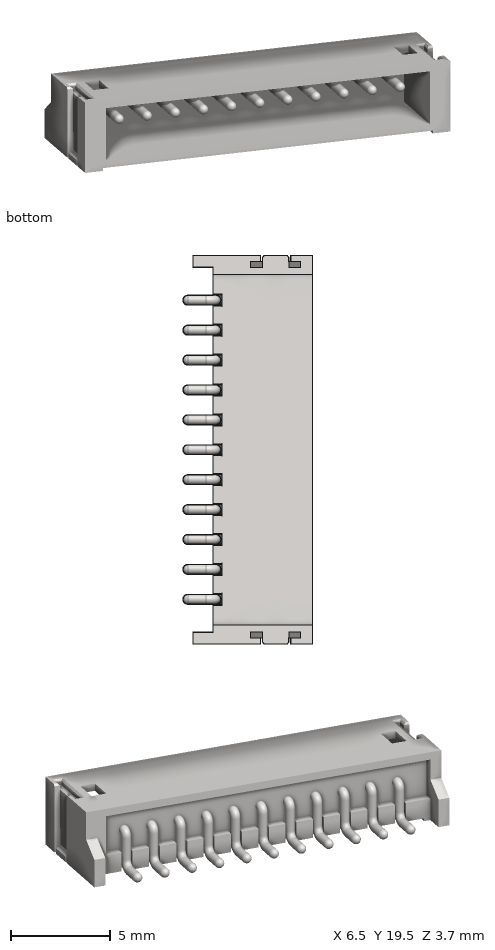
import cadquery as cq
import math


HOUSING_DEPTH = 5.0
HOUSING_WIDTH = 19.5
HOUSING_HEIGHT = 3.7
HALF_WIDTH = HOUSING_WIDTH / 2
STANDOFF = 0.15
FOOT_WIDTH = 0.95

WING_LENGTH = 1.0
WING_THICKNESS = 0.6
WING_REAR_HEIGHT = 1.5
WING_FRONT_HEIGHT = 2.2

CAVITY_END_WALL = 1.1
CAVITY_HALF_WIDTH = HALF_WIDTH - CAVITY_END_WALL
CAVITY_ROOF = 0.4
CAVITY_TOP = HOUSING_HEIGHT - CAVITY_ROOF
CAVITY_BOTTOM = 0.5
CAVITY_REAR_X = 1.2

RECESS_DEPTH = 0.45
RECESS_RIGHT_Y = -HALF_WIDTH + WING_THICKNESS
RECESS_LEFT_Y = CAVITY_HALF_WIDTH
SHELF_TOP = 1.17
GROOVE_WIDTH = 0.6

WINDOW_REAR_X = 1.8
WINDOW_LENGTH = 1.4
WINDOW_WIDTH = 0.8

SLOT_CENTER_X = 3.15
SLOT_LENGTH = 2.5
SLOT_LIP = 0.3
SLOT_THICKNESS = 0.3
MOUTH_LENGTH = 1.5
SLOT_CHAMFER = 0.1

TAB_TOP = 3.38
TAB_SHOULDER_Z = 1.3
LEG_LENGTH = 1.33
TAB_FOOT_HEIGHT = 0.3
BEND_CHAMFER = 0.1
FOOT_CORNER_CHAMFER = 0.1

PIN_COUNT = 11
PIN_PITCH = 1.5
PIN_DIAMETER = 0.5
PIN_RADIUS = PIN_DIAMETER / 2
TAIL_TIP_X = -1.5
TAIL_Z = PIN_RADIUS
LOWER_BEND_RADIUS = 0.5
UPPER_BEND_RADIUS = 0.26
RISER_X = 0.15
CONTACT_Z = 2.21
CONTACT_TIP_X = 4.0


def box(x_range, y_range, z_range):
    """Box spanning three (low, high) ranges."""
    spans = [high - low for low, high in (x_range, y_range, z_range)]
    corner = (x_range[0], y_range[0], z_range[0])
    return cq.Workplane("XY").box(*spans, centered=False).translate(corner)


def centered_range(center, length):
    return (center - length / 2, center + length / 2)


def both_ends(shape):
    """A feature of the -Y end together with its mirror image at the +Y end."""
    return shape.union(shape.mirror("XZ"))


def make_wing():
    return (
        cq.Workplane("XZ", origin=(0, -HALF_WIDTH, 0))
        .moveTo(0, 0)
        .lineTo(-WING_LENGTH, 0)
        .lineTo(-WING_LENGTH, WING_REAR_HEIGHT)
        .lineTo(0, WING_FRONT_HEIGHT)
        .close()
        .extrude(-WING_THICKNESS)
    )


def make_end_slot():
    """T-shaped slot through the full height, widened by a chamfer at the top."""
    inner_y = -HALF_WIDTH + SLOT_LIP

    def t_outline(z, growth):
        """T outline at height z, its slot and mouth walls moved outwards by growth."""
        mouth_half = MOUTH_LENGTH / 2 + growth
        slot_half = SLOT_LENGTH / 2 + growth
        lip_y = inner_y - growth
        back_y = inner_y + SLOT_THICKNESS + growth
        return (
            cq.Workplane("XY", origin=(SLOT_CENTER_X, 0, z))
            .moveTo(-mouth_half, -HALF_WIDTH - SLOT_LIP)
            .lineTo(mouth_half, -HALF_WIDTH - SLOT_LIP)
            .lineTo(mouth_half, lip_y)
            .lineTo(slot_half, lip_y)
            .lineTo(slot_half, back_y)
            .lineTo(-slot_half, back_y)
            .lineTo(-slot_half, lip_y)
            .lineTo(-mouth_half, lip_y)
            .close()
        )

    slot = t_outline(0, 0).extrude(HOUSING_HEIGHT)
    lower_wire = t_outline(HOUSING_HEIGHT - SLOT_CHAMFER, 0).val()
    upper_wire = t_outline(HOUSING_HEIGHT, SLOT_CHAMFER).val()
    lead_in = cq.Solid.makeLoft([lower_wire, upper_wire], True)
    return slot.union(cq.Workplane(lead_in))


def make_window():
    inner_y = -CAVITY_HALF_WIDTH
    return box(
        (WINDOW_REAR_X, WINDOW_REAR_X + WINDOW_LENGTH),
        (inner_y, inner_y + WINDOW_WIDTH),
        (CAVITY_TOP, HOUSING_HEIGHT),
    )


def pin_positions():
    first_y = -PIN_PITCH * (PIN_COUNT - 1) / 2
    return [first_y + PIN_PITCH * index for index in range(PIN_COUNT)]


def make_housing():
    cavity_width = (-CAVITY_HALF_WIDTH, CAVITY_HALF_WIDTH)
    underside_half = HALF_WIDTH - FOOT_WIDTH

    housing = box((0, HOUSING_DEPTH), (-HALF_WIDTH, HALF_WIDTH), (0, HOUSING_HEIGHT))
    housing = housing.cut(box((0, HOUSING_DEPTH), (-underside_half, underside_half), (0, STANDOFF)))
    housing = housing.cut(box((CAVITY_REAR_X, HOUSING_DEPTH), cavity_width, (CAVITY_BOTTOM, CAVITY_TOP)))
    housing = housing.cut(box((0, RECESS_DEPTH), (RECESS_RIGHT_Y, RECESS_LEFT_Y), (SHELF_TOP, CAVITY_TOP)))
    for pin_y in pin_positions():
        groove = box((0, RECESS_DEPTH), centered_range(pin_y, GROOVE_WIDTH), (0, SHELF_TOP))
        housing = housing.cut(groove)
    housing = housing.cut(both_ends(make_window()))
    housing = housing.cut(both_ends(make_end_slot()))
    return housing.union(both_ends(make_wing()))


def make_solder_tab():
    """Plate filling the slot, a narrower leg below it and a foot bent outwards."""
    outer_y = -HALF_WIDTH + SLOT_LIP
    plate_y = (outer_y, outer_y + SLOT_THICKNESS)
    leg_x = centered_range(SLOT_CENTER_X, LEG_LENGTH)

    plate = box(centered_range(SLOT_CENTER_X, SLOT_LENGTH), plate_y, (TAB_SHOULDER_Z, TAB_TOP))
    leg = box(leg_x, plate_y, (0, TAB_SHOULDER_Z))
    foot = box(leg_x, (-HALF_WIDTH, outer_y), (0, TAB_FOOT_HEIGHT))
    foot = foot.edges("|Z and <Y").chamfer(FOOT_CORNER_CHAMFER)
    bend = (
        cq.Workplane("YZ", origin=(leg_x[0], 0, 0))
        .moveTo(outer_y, TAB_FOOT_HEIGHT)
        .lineTo(outer_y - BEND_CHAMFER, TAB_FOOT_HEIGHT)
        .lineTo(outer_y, TAB_FOOT_HEIGHT + BEND_CHAMFER)
        .close()
        .extrude(LEG_LENGTH)
    )
    return plate.union(leg).union(foot).union(bend)


def make_pin():
    """Round wire from the board tail up through two bends to the contact, tips domed."""
    tail_start_x = TAIL_TIP_X + PIN_RADIUS
    contact_end_x = CONTACT_TIP_X - PIN_RADIUS
    half_bend = math.cos(math.radians(45))
    lower_center = (RISER_X - LOWER_BEND_RADIUS, TAIL_Z + LOWER_BEND_RADIUS)
    upper_center = (RISER_X + UPPER_BEND_RADIUS, CONTACT_Z - UPPER_BEND_RADIUS)
    lower_middle = (
        lower_center[0] + LOWER_BEND_RADIUS * half_bend,
        lower_center[1] - LOWER_BEND_RADIUS * half_bend,
    )
    upper_middle = (
        upper_center[0] - UPPER_BEND_RADIUS * half_bend,
        upper_center[1] + UPPER_BEND_RADIUS * half_bend,
    )
    path = (
        cq.Workplane("XZ")
        .moveTo(tail_start_x, TAIL_Z)
        .lineTo(lower_center[0], TAIL_Z)
        .threePointArc(lower_middle, (RISER_X, lower_center[1]))
        .lineTo(RISER_X, upper_center[1])
        .threePointArc(upper_middle, (upper_center[0], CONTACT_Z))
        .lineTo(contact_end_x, CONTACT_Z)
    )
    wire = cq.Workplane("YZ", origin=(tail_start_x, 0, TAIL_Z)).circle(PIN_RADIUS).sweep(path)
    dome = cq.Workplane("XY").sphere(PIN_RADIUS)
    tail_tip = dome.translate((tail_start_x, 0, TAIL_Z))
    contact_tip = dome.translate((contact_end_x, 0, CONTACT_Z))
    return wire.union(tail_tip).union(contact_tip)


result = make_housing().union(both_ends(make_solder_tab()))
pin = make_pin()
for pin_y in pin_positions():
    result = result.union(pin.translate((0, pin_y, 0)))